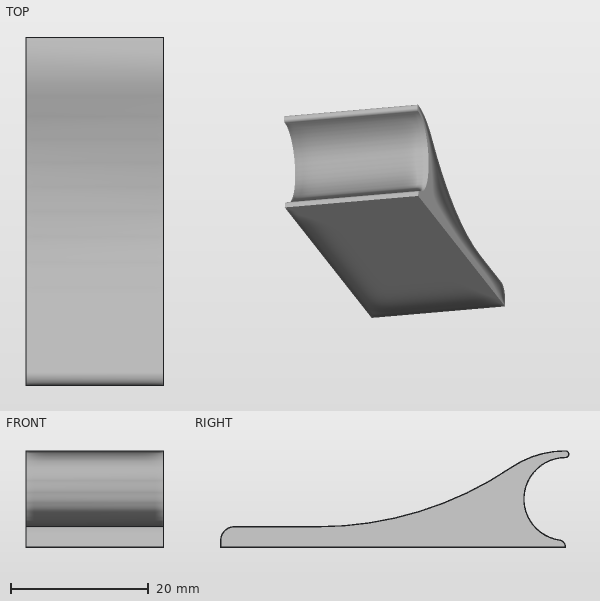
import cadquery as cq
import math

WIDTH = 20.0
BASE_LENGTH = 50.0
HEIGHT = 14.0
TOE_THICKNESS = 3.0
TOE_RADIUS = 2.0
HOOK_THICKNESS = 1.0
BORE_RADIUS = 6.0
CREST_RADIUS = 14.0
RAMP_RADIUS = 50.0
LIP_RADIUS = 1.0
TIP_RADIUS = HOOK_THICKNESS / 2

bore_y = BASE_LENGTH
bore_z = HEIGHT - HOOK_THICKNESS - BORE_RADIUS


def on_circle(center_y, center_z, radius, angle):
    """Point on a circle in the YZ plane, angle in radians from +Y towards +Z."""
    return (center_y + radius * math.cos(angle), center_z + radius * math.sin(angle))


def build_profile():
    """Closed side outline, starting at the lower front corner and running up and back."""
    crest_y = BASE_LENGTH
    crest_z = HEIGHT - CREST_RADIUS
    ramp_z = TOE_THICKNESS + RAMP_RADIUS
    center_distance = CREST_RADIUS + RAMP_RADIUS
    slope = math.acos((ramp_z - crest_z) / center_distance)
    ramp_y = crest_y - center_distance * math.sin(slope)
    crest_start = on_circle(crest_y, crest_z, CREST_RADIUS, math.pi / 2 + slope)
    crest_middle = on_circle(crest_y, crest_z, CREST_RADIUS, math.pi / 2 + slope / 2)
    ramp_middle = on_circle(ramp_y, ramp_z, RAMP_RADIUS, -math.pi / 2 + slope / 2)

    lip_y = BASE_LENGTH - LIP_RADIUS
    lip_center_distance = BORE_RADIUS + LIP_RADIUS
    lip_z = bore_z - math.sqrt(lip_center_distance**2 - (bore_y - lip_y) ** 2)
    lip_angle = math.atan2(bore_z - lip_z, bore_y - lip_y)
    lip_start = on_circle(lip_y, lip_z, LIP_RADIUS, lip_angle)
    lip_middle = on_circle(lip_y, lip_z, LIP_RADIUS, lip_angle / 2)

    toe_middle = on_circle(TOE_RADIUS, TOE_THICKNESS - TOE_RADIUS, TOE_RADIUS, 0.75 * math.pi)
    tip_z = HEIGHT - TIP_RADIUS

    return (
        cq.Workplane("YZ")
        .moveTo(0, 0)
        .lineTo(0, TOE_THICKNESS - TOE_RADIUS)
        .threePointArc(toe_middle, (TOE_RADIUS, TOE_THICKNESS))
        .lineTo(ramp_y, TOE_THICKNESS)
        .threePointArc(ramp_middle, crest_start)
        .threePointArc(crest_middle, (crest_y, HEIGHT))
        .threePointArc((bore_y + TIP_RADIUS, tip_z), (bore_y, HEIGHT - HOOK_THICKNESS))
        .threePointArc((bore_y - BORE_RADIUS, bore_z), lip_start)
        .threePointArc(lip_middle, (BASE_LENGTH, lip_z))
        .lineTo(BASE_LENGTH, 0)
        .close()
    )


result = build_profile().extrude(WIDTH / 2, both=True)